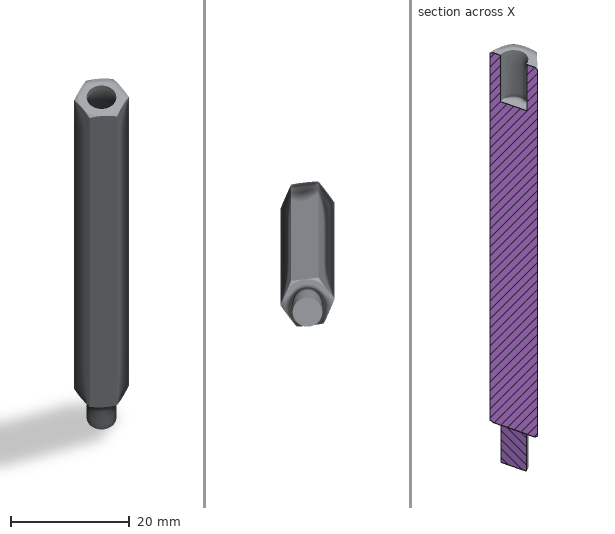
import cadquery as cq
import math

across_flats = 8.0
across_corners = across_flats / math.cos(math.radians(30))
body_length = 80.0

end_face_diameter = across_flats
chamfer_angle = 30.0

thread_diameter = 5.0
stud_length = 8.0
bore_depth = 2 * thread_diameter


def make_chamfer_envelope():
    """Round bar with coned ends that encloses the hexagon except its end corners."""
    end_radius = end_face_diameter / 2
    corner_radius = across_corners / 2
    chamfer_height = (corner_radius - end_radius) * math.tan(math.radians(chamfer_angle))
    half_section = [
        (0, 0),
        (end_radius, 0),
        (corner_radius, chamfer_height),
        (corner_radius, body_length - chamfer_height),
        (end_radius, body_length),
        (0, body_length),
    ]
    return cq.Workplane("XZ").polyline(half_section).close().revolve(360, (0, 0), (0, 1))


def make_spacer():
    """Hexagonal body with flats facing +X and -X, chamfered ends and a blind top bore."""
    hexagon = (
        cq.Workplane("XY")
        .transformed(rotate=(0, 0, 30))
        .polygon(6, across_corners)
        .extrude(body_length)
    )
    bore = (
        cq.Workplane("XY")
        .workplane(offset=body_length - bore_depth)
        .circle(thread_diameter / 2)
        .extrude(bore_depth)
    )
    return hexagon.intersect(make_chamfer_envelope()).cut(bore)


def make_stud():
    """Plain round stud seated against the bottom face of the spacer."""
    return cq.Workplane("XY").circle(thread_diameter / 2).extrude(-stud_length)


spacer = make_spacer()
stud = make_stud()

result = cq.Compound.makeCompound([spacer.val(), stud.val()])